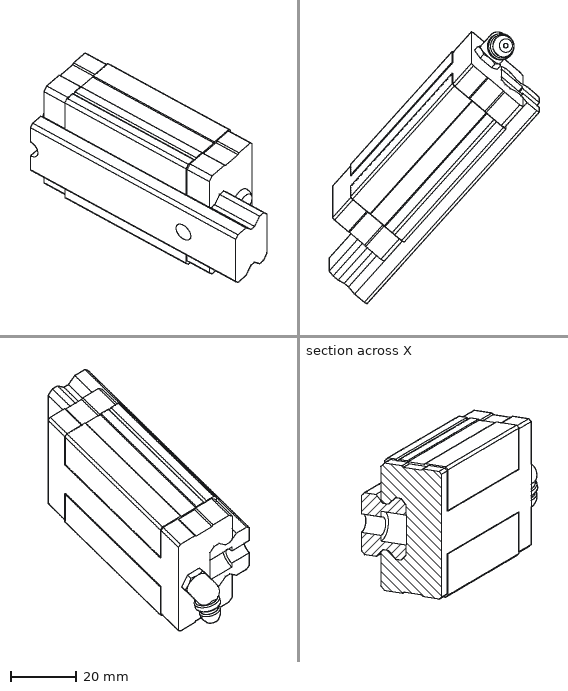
import cadquery as cq
import math


RAIL_LENGTH = 80.5
RAIL_HEIGHT = 15.45
RAIL_HALF_WIDTH = 10.0
RAIL_BASE_CHAMFER = 1.1
RAIL_WAIST_HALF_WIDTH = 7.5
RAIL_SHOULDER_Y = 5.1
RAIL_WAIST_TOP_Y = 9.3
RAIL_CROWN_CHAMFER_Y = 13.8
RAIL_CROWN_HALF_WIDTH = 8.2
HOLE_PITCH = 60.0
HOLE_DIAMETER = 5.8
COUNTERBORE_DIAMETER = 9.5
COUNTERBORE_FLOOR_Y = 6.9

CARRIAGE_LENGTH = 64.8
CAP_LENGTH = 8.6
BLOCK_LENGTH = CARRIAGE_LENGTH - 2 * CAP_LENGTH

BLOCK_BOTTOM_Y = 6.1
BLOCK_TOP_Y = 28.0
BLOCK_HALF_WIDTH = 42.0 / 2
BLOCK_BOTTOM_CHAMFER = 1.1
BLOCK_TOP_CHAMFER = 0.8
BLOCK_RECESS_DEPTH = 0.3
BLOCK_SIDE_RECESS = (13.9, 20.05)
TOP_RECESS_HALF_WIDTH = 6.9
GROOVE_DIAMETER = 1.0
GROOVE_Y = 10.5

CAP_BOTTOM_Y = 6.6
CAP_TOP_Y = 27.7
CAP_HALF_WIDTH = 20.6
CAP_BOTTOM_CHAMFER = 1.4
CAP_TOP_CHAMFER = 0.8
CAP_RECESS_DEPTH = 0.5
CAP_SIDE_RECESS = (14.2, 21.2)

FITTING_Y = 21.8
HEX_SIDES = 6
HEX_ACROSS_FLATS = 8.0
HEX_LENGTH = 1.9
HEX_CROWN_ANGLE = 30
ELBOW_DIAMETER = 8.0
ELBOW_LENGTH = 7.5
ELBOW_ROUND = 2.6
NIPPLE_X = -5.15
NIPPLE_TILT = 22.5
NECK_DIAMETER = 7.2
NECK_LENGTH = 3.4
COLLAR_DIAMETER = 8.0
COLLAR_LENGTH = 2.4
COLLAR_CHAMFER = 0.5
NIPPLE_GROOVE_DIAMETER = 5.5
NIPPLE_GROOVE_LENGTH = 1.4
HEAD_DIAMETER = 6.6
HEAD_CHAMFER = 0.5
HEAD_SHOULDER_DIAMETER = 5.8
HEAD_BULGE_DIAMETER = 6.4
HEAD_BULGE_LENGTH = 2.0
TIP_DIAMETER = 4.1
TIP_LENGTH = 1.3
GREASE_HOLE_DIAMETER = 1.4
GREASE_HOLE_DEPTH = 0.4
PLUG_DIAMETER = 8.3
PLUG_END_DIAMETER = 6.6
PLUG_LENGTH = 2.0
PLUG_BULGE_X = 1.2
PLUG_BULGE_DIAMETER = 7.8


def symmetric_bar(half_outline, start_x, length):
    """Extrude along X an outline given by its +Z half, listed from bottom to top."""
    mirrored = [(y, -z) for y, z in reversed(half_outline)]
    profile = cq.Workplane("YZ", origin=(start_x, 0, 0)).polyline(half_outline + mirrored)
    return profile.close().extrude(length)


def rail_bar():
    half_outline = [
        (0, RAIL_HALF_WIDTH - RAIL_BASE_CHAMFER),
        (RAIL_BASE_CHAMFER, RAIL_HALF_WIDTH),
        (RAIL_SHOULDER_Y, RAIL_HALF_WIDTH),
        (RAIL_SHOULDER_Y + RAIL_HALF_WIDTH - RAIL_WAIST_HALF_WIDTH, RAIL_WAIST_HALF_WIDTH),
        (RAIL_WAIST_TOP_Y, RAIL_WAIST_HALF_WIDTH),
        (RAIL_WAIST_TOP_Y + RAIL_HALF_WIDTH - RAIL_WAIST_HALF_WIDTH, RAIL_HALF_WIDTH),
        (RAIL_CROWN_CHAMFER_Y, RAIL_HALF_WIDTH),
        (RAIL_HEIGHT, RAIL_CROWN_HALF_WIDTH),
    ]
    return symmetric_bar(half_outline, 0, RAIL_LENGTH)


def cylinder_along_y(x, start_y, end_y, diameter):
    base = cq.Workplane("XZ", origin=(x, start_y, 0)).circle(diameter / 2)
    return base.extrude(start_y - end_y)


def make_rail():
    """Rail with counterbored mounting holes; the first one is split by the rail end."""
    rail = rail_bar()
    for x in (0, HOLE_PITCH):
        rail = rail.cut(cylinder_along_y(x, 0, RAIL_HEIGHT, HOLE_DIAMETER))
        rail = rail.cut(cylinder_along_y(x, COUNTERBORE_FLOOR_Y, RAIL_HEIGHT, COUNTERBORE_DIAMETER))
    return rail


def carriage_outline(bottom_y, top_y, half_width, bottom_chamfer, top_chamfer, recess, recess_depth):
    """Chamfered half outline with a shallow sloped-edge recess in the side."""
    recess_start, recess_end = recess
    return [
        (bottom_y, half_width - bottom_chamfer),
        (bottom_y + bottom_chamfer, half_width),
        (recess_start, half_width),
        (recess_start + recess_depth, half_width - recess_depth),
        (recess_end - recess_depth, half_width - recess_depth),
        (recess_end, half_width),
        (top_y - top_chamfer, half_width),
        (top_y, half_width - top_chamfer),
    ]


def make_block():
    outline = carriage_outline(
        BLOCK_BOTTOM_Y, BLOCK_TOP_Y, BLOCK_HALF_WIDTH, BLOCK_BOTTOM_CHAMFER, BLOCK_TOP_CHAMFER,
        BLOCK_SIDE_RECESS, BLOCK_RECESS_DEPTH,
    )
    top_recess = [
        (BLOCK_TOP_Y, TOP_RECESS_HALF_WIDTH),
        (BLOCK_TOP_Y - BLOCK_RECESS_DEPTH, TOP_RECESS_HALF_WIDTH),
    ]
    block = symmetric_bar(outline + top_recess, CAP_LENGTH, BLOCK_LENGTH)
    groove_centres = [(GROOVE_Y, BLOCK_HALF_WIDTH), (GROOVE_Y, -BLOCK_HALF_WIDTH)]
    grooves = cq.Workplane("YZ", origin=(CAP_LENGTH, 0, 0)).pushPoints(groove_centres)
    return block.cut(grooves.circle(GROOVE_DIAMETER / 2).extrude(BLOCK_LENGTH))


def make_cap(start_x):
    outline = carriage_outline(
        CAP_BOTTOM_Y, CAP_TOP_Y, CAP_HALF_WIDTH, CAP_BOTTOM_CHAMFER, CAP_TOP_CHAMFER,
        CAP_SIDE_RECESS, CAP_RECESS_DEPTH,
    )
    return symmetric_bar(outline, start_x, CAP_LENGTH)


def make_hexagon():
    """Hexagon with flats facing +Z and -Z, its outer corners turned down by a cone."""
    flat_radius = HEX_ACROSS_FLATS / 2
    corner_radius = flat_radius / math.cos(math.pi / HEX_SIDES)
    crown_depth = (corner_radius - flat_radius) * math.tan(math.radians(HEX_CROWN_ANGLE))
    plane = cq.Workplane("YZ", origin=(0, FITTING_Y, 0))
    hexagon = plane.polygon(HEX_SIDES, 2 * corner_radius).extrude(-HEX_LENGTH)
    crown = (
        cq.Workplane("XY", origin=(0, FITTING_Y, 0))
        .polyline([
            (0, 0),
            (0, corner_radius),
            (crown_depth - HEX_LENGTH, corner_radius),
            (-HEX_LENGTH, flat_radius),
            (-HEX_LENGTH, 0),
        ])
        .close()
        .revolve(360, (0, 0), (1, 0))
    )
    return hexagon.intersect(crown)


def make_elbow():
    """Round stub with a rounded end, standing out through the hexagon."""
    plane = cq.Workplane("YZ", origin=(0, FITTING_Y, 0))
    stub = plane.circle(ELBOW_DIAMETER / 2).extrude(-HEX_LENGTH - ELBOW_LENGTH)
    return stub.faces("<X").edges().fillet(ELBOW_ROUND)


def make_nipple():
    """Tilted grease nipple, revolved about its own axis from the elbow centre to the tip."""
    collar_end = NECK_LENGTH + COLLAR_LENGTH
    head_start = collar_end + NIPPLE_GROOVE_LENGTH
    bulge_start = head_start + HEAD_CHAMFER
    shoulder = bulge_start + HEAD_BULGE_LENGTH
    tip = shoulder + TIP_LENGTH
    neck_radius = NECK_DIAMETER / 2
    groove_radius = NIPPLE_GROOVE_DIAMETER / 2
    collar_radius = COLLAR_DIAMETER / 2
    head_radius = HEAD_DIAMETER / 2

    tilt = math.radians(NIPPLE_TILT)
    plane = cq.Plane(
        origin=(NIPPLE_X, FITTING_Y, 0),
        xDir=(math.cos(tilt), 0, -math.sin(tilt)),
        normal=(0, 1, 0),
    )
    profile = (
        cq.Workplane(plane)
        .lineTo(neck_radius, 0)
        .lineTo(neck_radius, NECK_LENGTH)
        .lineTo(collar_radius - COLLAR_CHAMFER, NECK_LENGTH)
        .lineTo(collar_radius, NECK_LENGTH + COLLAR_CHAMFER)
        .lineTo(collar_radius, collar_end - COLLAR_CHAMFER)
        .lineTo(collar_radius - COLLAR_CHAMFER, collar_end)
        .lineTo(groove_radius, collar_end)
        .lineTo(groove_radius, head_start)
        .lineTo(head_radius - HEAD_CHAMFER, head_start)
        .lineTo(head_radius, bulge_start)
        .threePointArc(
            (HEAD_BULGE_DIAMETER / 2, bulge_start + HEAD_BULGE_LENGTH / 2),
            (HEAD_SHOULDER_DIAMETER / 2, shoulder),
        )
        .lineTo(TIP_DIAMETER / 2, tip)
        .lineTo(GREASE_HOLE_DIAMETER / 2, tip)
        .lineTo(GREASE_HOLE_DIAMETER / 2, tip - GREASE_HOLE_DEPTH)
        .lineTo(0, tip - GREASE_HOLE_DEPTH)
        .close()
    )
    return profile.revolve(360, (0, 0), (0, 1))


def make_plug():
    """Round plug whose side curves inward to a flat end."""
    profile = (
        cq.Workplane("XY", origin=(CARRIAGE_LENGTH, FITTING_Y, 0))
        .lineTo(0, PLUG_DIAMETER / 2)
        .threePointArc((PLUG_BULGE_X, PLUG_BULGE_DIAMETER / 2), (PLUG_LENGTH, PLUG_END_DIAMETER / 2))
        .lineTo(PLUG_LENGTH, 0)
        .close()
    )
    return profile.revolve(360, (0, 0), (1, 0))


def make_carriage():
    """Carriage with its fitting and plug, hollowed by a channel that fits the rail."""
    carriage = make_block()
    carriage = carriage.union(make_cap(0))
    carriage = carriage.union(make_cap(CARRIAGE_LENGTH - CAP_LENGTH))
    carriage = carriage.union(make_hexagon())
    carriage = carriage.union(make_elbow())
    carriage = carriage.union(make_nipple())
    carriage = carriage.union(make_plug())
    return carriage.cut(rail_bar())


rail = make_rail()
carriage = make_carriage()
result = cq.Compound.makeCompound([rail.val(), carriage.val()])